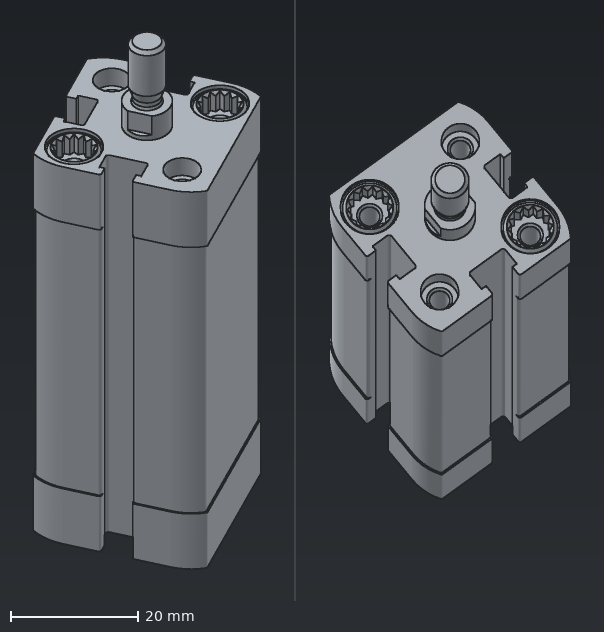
import cadquery as cq
import math

cap_width = 29.0
cap_height = 11.0
housing_height = 75.0
tube_inset = 0.3
corner_radius = 9.7
cap_edge_fillet = 0.3
tube_edge_fillet = 0.55

bore_offset = 9.0
through_diameter = 3.2
countersink_diameter = 4.0
counterbore_diameter = 6.0
counterbore_depth = 3.5

recess_diameter = 9.2
head_diameter = 8.5
head_top_diameter = 7.4
head_sink = 0.2
lead_in_diameter = 7.3
spline_tip_diameter = 6.0
spline_root_diameter = 7.15
spline_teeth = 14
socket_depth = 3.9

slot_mouth_width = 5.2
slot_width = 7.0
slot_depth = 5.2
slot_lip = 1.8
cap_mouth_fillet = 0.4
tube_mouth_fillet = 0.55
slot_floor_fillet = 0.5

rod_tip = 91.7
rod_diameter = 8.0
shoulder_height = 4.8
flat_spacing = 6.9
flat_length = 3.7
flat_runout = 0.3
thread_diameter = 6.0
thread_end_chamfer = 0.6
neck_diameter = 4.7
neck_flare_diameter = 5.0
neck_flare_length = 0.55
neck_length = 1.4
neck_taper_length = 1.8


def block(width, radius, edge_fillet, height):
    """Prism with flat X sides and Y sides that run into the corners as arcs."""
    half = width / 2
    arc_centre_y = half - radius
    mid_angle = math.acos((half - bore_offset) / radius)
    arc_end_y = arc_centre_y + radius * math.sin(mid_angle)
    half_angle = (mid_angle + math.pi / 2) / 2
    arc_mid = (bore_offset + radius * math.cos(half_angle), arc_centre_y + radius * math.sin(half_angle))
    prism = (
        cq.Workplane("XY")
        .moveTo(-bore_offset, half)
        .lineTo(bore_offset, half)
        .threePointArc(arc_mid, (half, arc_end_y))
        .lineTo(half, -arc_end_y)
        .threePointArc((arc_mid[0], -arc_mid[1]), (bore_offset, -half))
        .lineTo(-bore_offset, -half)
        .threePointArc((-arc_mid[0], -arc_mid[1]), (-half, -arc_end_y))
        .lineTo(-half, arc_end_y)
        .threePointArc((-arc_mid[0], arc_mid[1]), (-bore_offset, half))
        .close()
        .extrude(height)
    )
    return prism.edges("|Z and (>X or <X)").fillet(edge_fillet)


def slot(width, mouth_fillet, height, angle):
    """T-slot cutter for the -Y side of a block, turned about Z; its depths start at the cap faces."""
    half = width / 2
    mouth = slot_mouth_width / 2
    chamber_mid = (slot_lip + slot_depth - cap_width) / 2
    chamber = (
        cq.Workplane("XY")
        .center(0, chamber_mid)
        .rect(slot_width, slot_depth - slot_lip)
        .extrude(height)
        .edges("|Z and >Y")
        .fillet(slot_floor_fillet)
    )
    flare = mouth + mouth_fillet
    bulge = mouth_fillet * (1 - math.sqrt(0.5))
    opening = (
        cq.Workplane("XY")
        .moveTo(-mouth, chamber_mid)
        .lineTo(-mouth, mouth_fillet - half)
        .threePointArc((-mouth - bulge, bulge - half), (-flare, -half))
        .lineTo(flare, -half)
        .threePointArc((mouth + bulge, bulge - half), (mouth, mouth_fillet - half))
        .lineTo(mouth, chamber_mid)
        .close()
        .extrude(height)
    )
    return chamber.union(opening).rotate((0, 0, 0), (0, 0, 1), angle)


def slotted_block(width, radius, edge_fillet, mouth_fillet, height, base):
    """Block with T-slots on its -Y, +Y and -X sides, standing at height base."""
    body = block(width, radius, edge_fillet, height)
    for angle in (0, 180, 270):
        body = body.cut(slot(width, mouth_fillet, height, angle))
    return body.translate((0, 0, base))


def cylinder(diameter, bottom, top):
    return cq.Workplane("XY").workplane(offset=bottom).circle(diameter / 2).extrude(top - bottom)


def cone(bottom_diameter, top_diameter, bottom, top):
    solid = cq.Solid.makeCone(bottom_diameter / 2, top_diameter / 2, top - bottom, cq.Vector(0, 0, bottom))
    return cq.Workplane("XY").add(solid)


def through_bore(floor):
    """Bore from the base up to floor, with a 45 degree countersink at its top."""
    countersink_height = (countersink_diameter - through_diameter) / 2
    countersink = cone(through_diameter, countersink_diameter, floor - countersink_height, floor)
    return cylinder(through_diameter, 0, floor).union(countersink)


def spline_socket(floor, top):
    """Star-shaped socket with a tooth on the diagonal and a 45 degree lead-in cone."""
    points = []
    for index in range(2 * spline_teeth):
        radius = (spline_root_diameter if index % 2 else spline_tip_diameter) / 2
        angle = math.pi / 4 + math.pi * index / spline_teeth
        points.append((radius * math.cos(angle), radius * math.sin(angle)))
    star = cq.Workplane("XY").workplane(offset=floor).polyline(points).close().extrude(top - floor)
    lead_in_depth = (lead_in_diameter - spline_tip_diameter) / 2
    lead_in = cone(spline_tip_diameter, lead_in_diameter, top - lead_in_depth, top)
    return star.union(lead_in)


def screw_bore():
    """Groove around the screw head, its splined socket and the bore below it."""
    floor = housing_height - socket_depth
    head_top = housing_height - head_sink
    groove_floor = head_top - (head_diameter - head_top_diameter) / 2
    groove = cylinder(recess_diameter, groove_floor, housing_height)
    head = cone(head_diameter, head_top_diameter, groove_floor, head_top)
    return groove.cut(head).union(spline_socket(floor, head_top)).union(through_bore(floor))


def plain_bore():
    """Counterbored through bore."""
    floor = housing_height - counterbore_depth
    return cylinder(counterbore_diameter, floor, housing_height).union(through_bore(floor))


def make_housing():
    """End caps and the slightly narrower tube between them, with all bores."""
    tube_width = cap_width - 2 * tube_inset
    tube_radius = corner_radius - tube_inset
    tube_height = housing_height - 2 * cap_height
    top_cap_base = housing_height - cap_height
    bottom_cap = slotted_block(cap_width, corner_radius, cap_edge_fillet, cap_mouth_fillet, cap_height, 0)
    tube = slotted_block(
        tube_width, tube_radius, tube_edge_fillet, tube_mouth_fillet, tube_height, cap_height
    )
    top_cap = bottom_cap.translate((0, 0, top_cap_base))
    body = bottom_cap.union(tube).union(top_cap)
    for side in (-1, 1):
        body = body.cut(screw_bore().translate((side * bore_offset, side * bore_offset, 0)))
        body = body.cut(plain_bore().translate((side * bore_offset, -side * bore_offset, 0)))
    return body.cut(cylinder(rod_diameter, top_cap_base, housing_height))


def make_rod():
    """Turned rod seated through the top cap, with a threaded end and two wrench flats."""
    rod_bottom = housing_height - cap_height
    shoulder = housing_height + shoulder_height
    neck_radius = neck_diameter / 2
    thread_radius = thread_diameter / 2
    neck_top = shoulder + neck_length
    rod = (
        cq.Workplane("XZ")
        .moveTo(0, rod_bottom)
        .lineTo(rod_diameter / 2, rod_bottom)
        .lineTo(rod_diameter / 2, shoulder)
        .lineTo(neck_flare_diameter / 2, shoulder)
        .lineTo(neck_radius, shoulder + neck_flare_length)
        .lineTo(neck_radius, neck_top)
        .lineTo(thread_radius, neck_top + neck_taper_length)
        .lineTo(thread_radius, rod_tip - thread_end_chamfer)
        .lineTo(thread_radius - thread_end_chamfer, rod_tip)
        .lineTo(0, rod_tip)
        .close()
        .revolve(360, (0, 0, 0), (0, 1, 0))
    )
    flat = rod_flat_cutter(shoulder)
    return rod.cut(flat).cut(flat.mirror("XZ"))


def rod_flat_cutter(shoulder):
    """Cutter for the +Y wrench flat, whose lower end slopes down to the rod surface."""
    flat_y = flat_spacing / 2
    outer_y = rod_diameter / 2
    bottom = shoulder - flat_length
    return (
        cq.Workplane("YZ")
        .moveTo(flat_y, shoulder)
        .lineTo(flat_y, bottom)
        .lineTo(outer_y, bottom - flat_runout)
        .lineTo(outer_y, shoulder)
        .close()
        .extrude(rod_diameter / 2, both=True)
    )


housing = make_housing()
rod = make_rod()
result = cq.Compound.makeCompound([housing.val(), rod.val()])